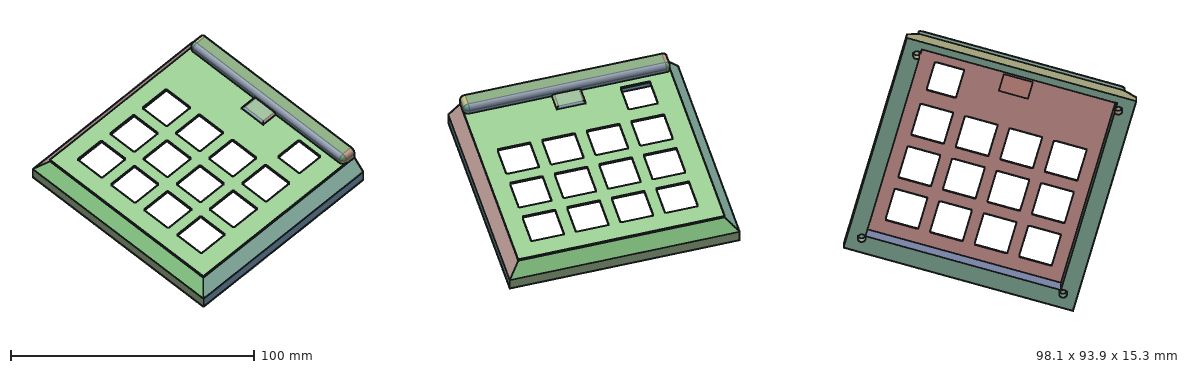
import cadquery as cq

WIDTH = 98.1
DEPTH = 93.9
BACK = DEPTH / 2
SKIRT_HEIGHT = 5.3
SLOPE = 5.0
BASE_HEIGHT = SKIRT_HEIGHT + SLOPE
SIDE_WALL = 7.3
FRONT_WALL = SIDE_WALL
BACK_WALL = 3.0
SCREW_DIAMETER = 3.3
SCREW_DEPTH = SKIRT_HEIGHT
SCREW_INSET = 6.0

PLATE_THICKNESS = 1.0
PLATE_TOP = BASE_HEIGHT + PLATE_THICKNESS
PLATE_WIDTH = WIDTH - 2 * SLOPE
PLATE_DEPTH = DEPTH - SLOPE

OVERALL_HEIGHT = 15.3
BAR_DEPTH = 7.0
BAR_HEIGHT = OVERALL_HEIGHT - PLATE_TOP
BAR_ROUND = 2.1

TAB_WIDTH = 12.5
TAB_REACH = 7.5
TAB_RISE = 1.0
TAB_ROUND = TAB_RISE

KEY_PITCH = 19.0
KEY_COLUMNS = 4
KEY_ROWS = 3
KEY_SIZE = 14.0
KEY_CENTRE_X = -0.6
KEY_CENTRE_Y = BACK - 54.8
EXTRA_SIZE = 12.6
EXTRA_CENTRE_X = KEY_CENTRE_X + (KEY_COLUMNS - 1) / 2 * KEY_PITCH
EXTRA_CENTRE_Y = BACK - 16.1
CORNER_ROUND = 0.5


def block(x_size, y_size, z_size, x_centre, y_back, z_bottom):
    """Box placed by the middle of its width, its back face and its bottom."""
    box = cq.Workplane("XY").box(x_size, y_size, z_size, centered=(True, False, False))
    return box.translate((x_centre, y_back - y_size, z_bottom))


def screw_holes():
    corners = cq.Workplane("XY").rect(WIDTH - 2 * SCREW_INSET, DEPTH - 2 * SCREW_INSET, forConstruction=True)
    return corners.vertices().circle(SCREW_DIAMETER / 2).extrude(SCREW_DEPTH)


def make_base():
    body = block(WIDTH, DEPTH, BASE_HEIGHT, 0, BACK, 0)
    body = body.faces(">Z").edges("<X or >X or <Y").chamfer(SLOPE)
    cavity_depth = DEPTH - BACK_WALL - FRONT_WALL
    cavity = block(WIDTH - 2 * SIDE_WALL, cavity_depth, BASE_HEIGHT, 0, BACK - BACK_WALL, 0)
    return body.cut(cavity).cut(screw_holes())


def opening(size, x, y):
    """Square cutter through the plate with rounded corners."""
    cutter = block(size, size, PLATE_THICKNESS, x, y + size / 2, BASE_HEIGHT)
    return cutter.edges("|Z").fillet(CORNER_ROUND)


def make_bar():
    bar = block(PLATE_WIDTH, BAR_DEPTH, BAR_HEIGHT, 0, BACK, PLATE_TOP)
    bar = bar.edges("|Z and <Y").fillet(BAR_ROUND)
    return bar.faces(">Z").edges("not >Y").fillet(BAR_ROUND)


def make_tab():
    """Rounded tab whose foot fills a slot through the plate."""
    height = PLATE_THICKNESS + TAB_RISE
    tab = block(TAB_WIDTH, TAB_REACH, height, KEY_CENTRE_X, BACK - BAR_DEPTH, BASE_HEIGHT)
    return tab.faces(">Z").edges("not >Y").fillet(TAB_ROUND)


def make_cover():
    plate = block(PLATE_WIDTH, PLATE_DEPTH, PLATE_THICKNESS, 0, BACK, BASE_HEIGHT)
    for column in range(KEY_COLUMNS):
        for row in range(KEY_ROWS):
            x = KEY_CENTRE_X + (column - (KEY_COLUMNS - 1) / 2) * KEY_PITCH
            y = KEY_CENTRE_Y + (row - (KEY_ROWS - 1) / 2) * KEY_PITCH
            plate = plate.cut(opening(KEY_SIZE, x, y))
    plate = plate.cut(opening(EXTRA_SIZE, EXTRA_CENTRE_X, EXTRA_CENTRE_Y))
    return plate.union(make_bar()).cut(make_tab())


base = make_base()
cover = make_cover()
tab = make_tab()
result = cq.Compound.makeCompound([base.val(), cover.val(), tab.val()])